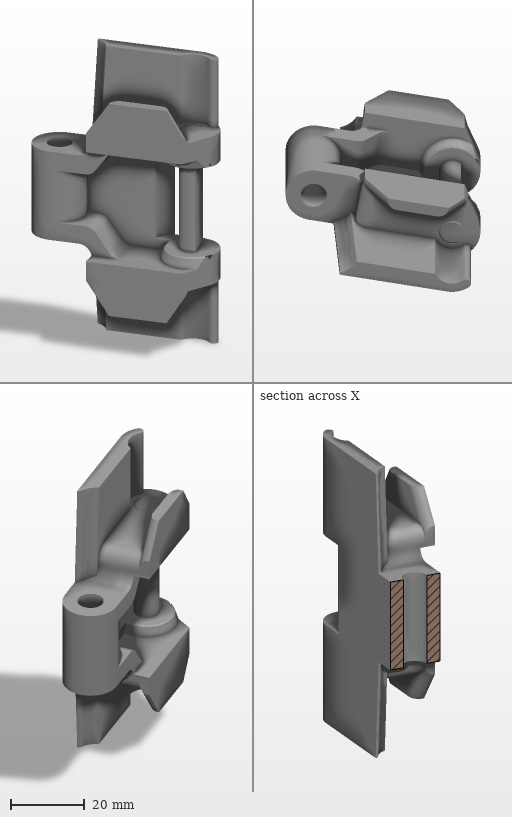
import cadquery as cq
import math

knuckle_radius = 7.62
bore_diameter = 7.11
pin_x = 38.1
pin_radius = 3.56
pin_flat_x = 40.05
pin_chamfer = 0.45

plate_thickness = 4.76
plate_length = 82.55
plate_pocket_radius = 5.08
plate_tip_angle = 43
edge_lip = 0.7

plate_edge_x_inner = 6.8
plate_edge_x_outer = 8.5
edge_hollow_width = 3.85
edge_hollow_sagitta = 0.6

half_knuckle = 12.83
hollow_corner_x = 26.4

arm_inner_z = 7.55
arm_floor_z = 15.88
arm_top_z = 21.5
bend_start_x = 8.1
bend_radius = 3.81
ramp_start_x = 11.85
ramp_end_x = 18.0
ramp_fillet = 3.81

flange_front_y = -12.19
flange_thickness = 3.09
flange_top_z = 30.82
flange_top_x = (18.46, 34.98)
flange_slope_foot_x = 40.9
flange_bevel_x = 39.25
root_fillet = 0.45
root_end_x = 38.4

boss_draft = 19
boss_rim_chamfer = 0.3

plate_back_y = knuckle_radius
plate_front_y = plate_back_y - plate_thickness
lip_y = plate_back_y - edge_lip
half_length = plate_length / 2
window_x = pin_x - knuckle_radius
flange_back_y = flange_front_y + flange_thickness
flange_x = bend_start_x + bend_radius
lower_center_z = half_knuckle + bend_radius


def bend_x(z):
    """X of the lower bend surface at a height up to its centre."""
    return bend_start_x + math.sqrt(bend_radius**2 - (lower_center_z - z) ** 2)


def polar(radius, degrees):
    """Point at an angle around the pin axis."""
    angle = math.radians(degrees)
    return (pin_x + radius * math.cos(angle), radius * math.sin(angle))


def block(x_range, y_range, z_range):
    return (
        cq.Workplane("XY")
        .box(
            x_range[1] - x_range[0],
            y_range[1] - y_range[0],
            z_range[1] - z_range[0],
            centered=False,
        )
        .translate((x_range[0], y_range[0], z_range[0]))
    )


def make_knuckle():
    """Barrel joined by a web to the edge of the pin window."""
    barrel = cq.Workplane("XY").circle(knuckle_radius).extrude(half_knuckle)
    web = block((0, window_x), (plate_front_y, plate_back_y), (0, half_knuckle))
    hollow = (
        cq.Workplane("XY")
        .center(window_x, plate_front_y)
        .circle(window_x - hollow_corner_x)
        .extrude(half_knuckle)
    )
    return barrel.union(web.cut(hollow))


def make_wing():
    """Plate above the knuckle, curled over the pin, with a slanted hollow free edge."""
    pocket_start_x = pin_x - math.sqrt(plate_pocket_radius**2 - plate_front_y**2)
    tip_radius = (knuckle_radius - plate_pocket_radius) / 2
    tip_mid_radius = plate_pocket_radius + tip_radius
    tip_center = polar(tip_mid_radius, plate_tip_angle)
    tip_direction = math.radians(plate_tip_angle - 90)
    tip_end = (
        tip_center[0] + tip_radius * math.cos(tip_direction),
        tip_center[1] + tip_radius * math.sin(tip_direction),
    )
    plate = (
        cq.Workplane("XY")
        .workplane(offset=half_knuckle)
        .moveTo(plate_edge_x_inner, plate_back_y)
        .lineTo(pin_x, plate_back_y)
        .threePointArc(
            polar(knuckle_radius, (90 + plate_tip_angle) / 2),
            polar(knuckle_radius, plate_tip_angle),
        )
        .threePointArc(tip_end, polar(plate_pocket_radius, plate_tip_angle))
        .threePointArc((pin_x, plate_pocket_radius), (pocket_start_x, plate_front_y))
        .lineTo(plate_edge_x_inner, plate_front_y)
        .close()
        .extrude(half_length - half_knuckle)
    )

    edge_front_x = plate_edge_x_inner + edge_hollow_width
    chord_drop = lip_y - plate_front_y
    chord = math.hypot(edge_hollow_width, chord_drop)
    hollow_middle = (
        (plate_edge_x_inner + edge_front_x) / 2 + edge_hollow_sagitta * chord_drop / chord,
        (lip_y + plate_front_y) / 2 + edge_hollow_sagitta * edge_hollow_width / chord,
    )
    clear_x = plate_edge_x_inner - knuckle_radius
    section = (
        cq.Workplane("XY")
        .workplane(offset=half_knuckle)
        .moveTo(clear_x, plate_back_y)
        .lineTo(plate_edge_x_inner, plate_back_y)
        .lineTo(plate_edge_x_inner, lip_y)
        .threePointArc(hollow_middle, (edge_front_x, plate_front_y))
        .lineTo(clear_x, plate_front_y)
        .close()
    )
    lean = cq.Vector(plate_edge_x_outer - plate_edge_x_inner, 0, half_length - half_knuckle)
    cutter = cq.Solid.extrudeLinear(section.val(), [], lean)
    return plate.cut(cq.Workplane(cutter))


def make_footprint():
    """Outline shared by arm, boss and flange: round over the pin, sloping to the flange front."""
    foot_angle = math.degrees(math.atan2(flange_front_y, flange_bevel_x - pin_x))
    foot_distance = math.hypot(flange_front_y, flange_bevel_x - pin_x)
    tangent_angle = foot_angle + math.degrees(math.acos(knuckle_radius / foot_distance))
    return (
        cq.Workplane("XY")
        .moveTo(0, knuckle_radius)
        .lineTo(pin_x, knuckle_radius)
        .threePointArc((pin_x + knuckle_radius, 0), polar(knuckle_radius, tangent_angle))
        .lineTo(flange_bevel_x, flange_front_y)
        .lineTo(bend_start_x, flange_front_y)
        .lineTo(bend_start_x, -knuckle_radius)
        .lineTo(0, -knuckle_radius)
        .close()
        .extrude(half_length)
    )


def make_arm():
    """Arm that steps outward from the knuckle to the pin."""
    end_x = pin_x + knuckle_radius
    arc_mid = bend_radius * math.sqrt(0.5)
    upper_center_x = flange_x + bend_radius
    upper_center_z = arm_top_z - bend_radius
    arm = (
        cq.Workplane("XZ", origin=(0, knuckle_radius, 0))
        .moveTo(0, arm_inner_z)
        .lineTo(0, half_knuckle)
        .lineTo(bend_start_x, half_knuckle)
        .threePointArc(
            (bend_start_x + arc_mid, lower_center_z - arc_mid),
            (flange_x, lower_center_z),
        )
        .lineTo(flange_x, upper_center_z)
        .threePointArc(
            (upper_center_x - arc_mid, upper_center_z + arc_mid),
            (upper_center_x, arm_top_z),
        )
        .lineTo(end_x, arm_top_z)
        .lineTo(end_x, arm_floor_z)
        .lineTo(ramp_end_x, arm_floor_z)
        .lineTo(ramp_start_x, arm_inner_z)
        .close()
        .extrude(knuckle_radius - flange_back_y)
    )
    ramp_middle = ((ramp_start_x + ramp_end_x) / 2, 0, (arm_inner_z + arm_floor_z) / 2)
    ramp_corners = arm.faces(cq.NearestToPointSelector(ramp_middle)).edges("|Y")
    arm = ramp_corners.fillet(ramp_fillet)
    below_flange = block((0, end_x), (flange_back_y, -knuckle_radius), (0, arm_floor_z))
    return arm.cut(below_flange)


def make_flange():
    """Upright flange that continues the arm bend; its sloping shoulders are rounded behind."""
    end_x = pin_x + knuckle_radius
    left_x, right_x = flange_top_x
    bend_middle_z = (arm_floor_z + lower_center_z) / 2
    flange = (
        cq.Workplane("XZ", origin=(0, flange_back_y, 0))
        .moveTo(bend_x(arm_floor_z), arm_floor_z)
        .threePointArc((bend_x(bend_middle_z), bend_middle_z), (flange_x, lower_center_z))
        .lineTo(flange_x, arm_top_z)
        .lineTo(left_x, flange_top_z)
        .lineTo(right_x, flange_top_z)
        .lineTo(flange_slope_foot_x, arm_top_z)
        .lineTo(end_x, arm_top_z)
        .lineTo(end_x, arm_floor_z)
        .close()
        .extrude(flange_thickness)
    )
    for bottom_x, top_x in ((flange_x, left_x), (flange_slope_foot_x, right_x)):
        middle = ((bottom_x + top_x) / 2, flange_back_y, (arm_top_z + flange_top_z) / 2)
        rear_edge = flange.edges(cq.NearestToPointSelector(middle))
        flange = rear_edge.fillet(flange_thickness - edge_lip)
    return flange


def make_flange_root():
    """Small concave fillet where the arm top meets the back of the flange."""
    start_x = flange_x + bend_radius
    strip = block(
        (start_x, root_end_x),
        (flange_back_y, flange_back_y + root_fillet),
        (arm_top_z, arm_top_z + root_fillet),
    )
    hollow = (
        cq.Workplane("YZ", origin=(start_x, 0, 0))
        .center(flange_back_y + root_fillet, arm_top_z + root_fillet)
        .circle(root_fillet)
        .extrude(root_end_x - start_x)
    )
    return strip.cut(hollow)


def make_boss():
    """Drafted pad around the pin, widening from the window end to the arm floor."""
    return (
        cq.Workplane("XY")
        .workplane(offset=half_knuckle)
        .moveTo(window_x, plate_back_y)
        .lineTo(window_x, 0)
        .threePointArc((pin_x, -knuckle_radius), (pin_x + knuckle_radius, 0))
        .lineTo(pin_x + knuckle_radius, plate_back_y)
        .close()
        .extrude(arm_floor_z - half_knuckle, taper=-boss_draft)
    )


def make_pin_body(end_chamfer):
    """Pin with a flat along its +X side; also used, without chamfers, as its hole."""
    body = cq.Workplane("XY").workplane(offset=-arm_top_z)
    body = body.center(pin_x, 0).circle(pin_radius).extrude(2 * arm_top_z)
    if end_chamfer:
        body = body.faces("<Z or >Z").chamfer(end_chamfer)
    keep = block(
        (pin_x - pin_radius, pin_flat_x),
        (-pin_radius, pin_radius),
        (-arm_top_z, arm_top_z),
    )
    return body.intersect(keep)


def make_hinge():
    outlined = make_arm().union(make_boss()).union(make_flange()).intersect(make_footprint())
    rim_point = (pin_x, -knuckle_radius, half_knuckle)
    boss_rim = outlined.edges(cq.NearestToPointSelector(rim_point))
    outlined = boss_rim.chamfer(boss_rim_chamfer)
    upper = make_knuckle().union(make_wing()).union(outlined).union(make_flange_root())
    whole = upper.union(upper.mirror("XY"))
    bore = cq.Workplane("XY").circle(bore_diameter / 2).extrude(half_knuckle, both=True)
    return whole.cut(bore).cut(make_pin_body(0))


hinge = make_hinge()
pin = make_pin_body(pin_chamfer)
result = cq.Compound.makeCompound([hinge.val(), pin.val()])